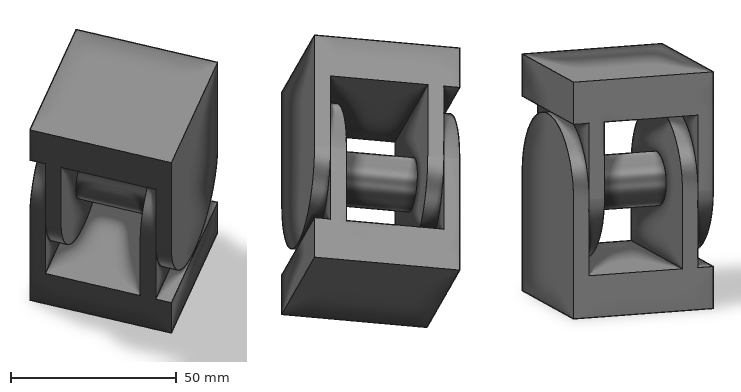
import cadquery as cq

width = 45.0
height = 73.0
ear_thickness = 5.0
end_clearance = 1.0
pin_diameter = 16.5

ear_radius = width / 2
block_thickness = height / 2 - ear_radius - end_clearance
ear_length = height / 2 - block_thickness

left_outer = -width / 2
left_inner = left_outer + ear_thickness
right_outer = width / 2 - ear_thickness
right_inner = right_outer - ear_thickness


def ear(left_face):
    """Upward ear: straight sides from the block, rounded about the hinge axis."""
    return (
        cq.Workplane("YZ", origin=(left_face, 0, 0))
        .moveTo(-ear_radius, -ear_length)
        .lineTo(ear_radius, -ear_length)
        .lineTo(ear_radius, 0)
        .threePointArc((0, ear_radius), (-ear_radius, 0))
        .close()
        .extrude(ear_thickness)
    )


def clevis(ear_faces):
    """Lower hinge half: a square block carrying one ear per given left face."""
    body = cq.Workplane("XY", origin=(0, 0, -height / 2)).rect(width, width).extrude(block_thickness)
    for left_face in ear_faces:
        body = body.union(ear(left_face))
    return body


lower_half = clevis([left_outer, right_inner])

upper_half = clevis([left_inner, right_outer]).mirror("XY")

pin = (
    cq.Workplane("YZ", origin=(left_inner, 0, 0))
    .circle(pin_diameter / 2)
    .extrude(right_outer - left_inner)
)

result = lower_half.union(upper_half).union(pin)